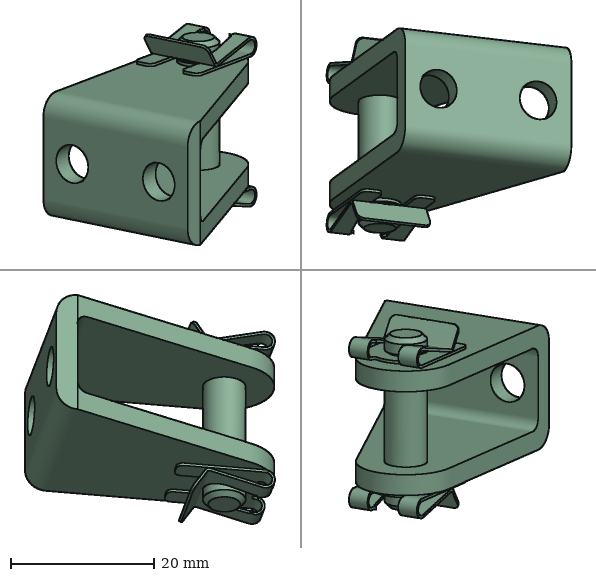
import cadquery as cq
import math


bracket_width = 25.0
bracket_length = 34.0
bracket_height = 18.0
plate_thickness = 3.0
bend_outer_radius = 3.0
bend_inner_radius = 1.5
nose_radius = 7.0
mount_hole_diameter = 5.5
mount_hole_inset = 5.0

bracket_left = -nose_radius
bracket_right = bracket_left + bracket_width
bracket_back = nose_radius - bracket_length
taper_end = bracket_back + bend_outer_radius

pin_diameter = 6.0
pin_length = 25.0
pin_chamfer = 0.75
groove_diameter = 5.0
groove_base = 9.45
groove_width = 0.75

clip_width = 11.1
clip_thickness = 0.4
clip_corner_radius = 1.0
fork_end = -7.6
loop_y = 4.8
loop_outer_radius = 1.43
arm_slope = 14.5
lip_slope = 56.5
lip_bend_y = -3.13
lip_bend_radius = 0.25
clip_top = 13.33

opening_radius = 3.03
loop_opening_width = 5.0
ring_radius = 4.93
opening_corner_radius = 0.35

clip_bottom = groove_base
fork_top = clip_bottom + clip_thickness
loop_front = loop_y + loop_outer_radius


def polar(center, radius, degrees):
    """Point at a radius and angle around a center."""
    angle = math.radians(degrees)
    return (center[0] + radius * math.cos(angle), center[1] + radius * math.sin(angle))


def tangent_point(point, radius, turn):
    """Point where a line from an outside point touches a circle about the origin.

    A turn of 1 takes the counterclockwise tangent point, -1 the clockwise one.
    """
    half_angle = math.acos(radius / math.hypot(*point))
    angle = math.atan2(point[1], point[0]) + turn * half_angle
    return polar((0, 0), radius, math.degrees(angle))


def rounded_block(back, height, bend_radius):
    """Block across the bracket width from the back to the nose, with its two back edges rounded."""
    return (
        cq.Workplane("XY")
        .box(bracket_width, nose_radius - back, height, centered=(False, False, True))
        .translate((bracket_left, back, 0))
        .edges("|X and <Y")
        .fillet(bend_radius)
    )


def make_bracket():
    outside = rounded_block(bracket_back, bracket_height, bend_outer_radius)
    inside = rounded_block(
        bracket_back + plate_thickness,
        bracket_height - 2 * plate_thickness,
        bend_inner_radius,
    )
    channel = outside.cut(inside)

    taper_corner = (bracket_right, taper_end)
    outline = (
        cq.Workplane("XY", origin=(0, 0, -bracket_height / 2))
        .moveTo(bracket_left, bracket_back)
        .lineTo(bracket_right, bracket_back)
        .lineTo(*taper_corner)
        .lineTo(*tangent_point(taper_corner, nose_radius, 1))
        .threePointArc((0, nose_radius), (-nose_radius, 0))
        .close()
        .extrude(bracket_height)
    )
    pin_hole = cq.Workplane("XY").circle(pin_diameter / 2).extrude(bracket_height / 2, both=True)
    hole_xs = (bracket_left + mount_hole_inset, bracket_right - mount_hole_inset)
    mount_holes = (
        cq.Workplane("XZ", origin=(0, bracket_back + plate_thickness, 0))
        .pushPoints([(x, 0) for x in hole_xs])
        .circle(mount_hole_diameter / 2)
        .extrude(plate_thickness)
    )
    return channel.intersect(outline).cut(pin_hole).cut(mount_holes)


def make_pin():
    pin = (
        cq.Workplane("XY")
        .circle(pin_diameter / 2)
        .extrude(pin_length / 2, both=True)
        .faces("<Z or >Z")
        .chamfer(pin_chamfer)
    )
    groove = (
        cq.Workplane("XY", origin=(0, 0, groove_base))
        .circle(pin_diameter / 2)
        .circle(groove_diameter / 2)
        .extrude(groove_width)
    )
    return pin.cut(groove).cut(groove.mirror("XY"))


def make_clip_strip():
    """Bent strip of constant thickness, extruded across the clip width."""
    loop_center = (loop_y, clip_bottom + loop_outer_radius)
    loop_inner_radius = loop_outer_radius - clip_thickness
    lip_outer_radius = lip_bend_radius + clip_thickness
    slope = math.radians(arm_slope)

    bend_run = lip_bend_y - loop_y
    bend_rise = (loop_outer_radius + lip_bend_radius + bend_run * math.sin(slope)) / math.cos(slope)
    bend_center = (lip_bend_y, loop_center[1] + bend_rise)

    loop_end_angle = 90 + arm_slope
    loop_mid_angle = arm_slope / 2
    bend_start_angle = arm_slope - 90
    bend_end_angle = -90 - lip_slope
    bend_mid_angle = (bend_start_angle + bend_end_angle) / 2

    lip_direction = 180 - lip_slope
    lip_inner_start = polar(bend_center, lip_bend_radius, bend_end_angle)
    lip_outer_start = polar(bend_center, lip_outer_radius, bend_end_angle)
    lip_length = (clip_top - lip_inner_start[1]) / math.sin(math.radians(lip_slope))

    return (
        cq.Workplane("YZ", origin=(-clip_width / 2, 0, 0))
        .moveTo(fork_end, clip_bottom)
        .lineTo(loop_y, clip_bottom)
        .threePointArc(
            polar(loop_center, loop_outer_radius, loop_mid_angle),
            polar(loop_center, loop_outer_radius, loop_end_angle),
        )
        .lineTo(*polar(bend_center, lip_bend_radius, bend_start_angle))
        .threePointArc(polar(bend_center, lip_bend_radius, bend_mid_angle), lip_inner_start)
        .lineTo(*polar(lip_inner_start, lip_length, lip_direction))
        .lineTo(*polar(lip_outer_start, lip_length, lip_direction))
        .lineTo(*lip_outer_start)
        .threePointArc(
            polar(bend_center, lip_outer_radius, bend_mid_angle),
            polar(bend_center, lip_outer_radius, bend_start_angle),
        )
        .lineTo(*polar(loop_center, loop_inner_radius, loop_end_angle))
        .threePointArc(polar(loop_center, loop_inner_radius, loop_mid_angle), (loop_y, fork_top))
        .lineTo(fork_end, fork_top)
        .close()
        .extrude(clip_width)
    )


def make_fork_slot():
    """Slot between the fork legs, rounded to fit the pin groove."""
    half_slot = groove_diameter / 2
    return (
        cq.Workplane("XY", origin=(0, 0, clip_bottom))
        .moveTo(-half_slot, fork_end)
        .lineTo(half_slot, fork_end)
        .lineTo(half_slot, 0)
        .threePointArc((0, half_slot), (-half_slot, 0))
        .close()
        .extrude(clip_thickness)
    )


def make_head_opening():
    """Keyhole through the arm and loop that leaves a ring of the flat fork around the pin."""
    height = clip_top - clip_bottom
    loop_corner = (loop_opening_width / 2, loop_front)
    side_x, side_y = tangent_point(loop_corner, opening_radius, -1)
    keyhole = (
        cq.Workplane("XY", origin=(0, 0, clip_bottom))
        .moveTo(*loop_corner)
        .lineTo(side_x, side_y)
        .threePointArc((0, -opening_radius), (-side_x, side_y))
        .lineTo(-loop_corner[0], loop_corner[1])
        .close()
        .extrude(height)
    )
    ring = cq.Workplane("XY", origin=(0, 0, clip_bottom)).circle(ring_radius).extrude(height)
    loop_part = keyhole.cut(ring).edges("|Z and <Y").fillet(opening_corner_radius)
    fork_layer = (
        cq.Workplane("XY", origin=(0, 0, clip_bottom))
        .circle(ring_radius)
        .extrude(clip_thickness)
    )
    arm_part = keyhole.cut(fork_layer).intersect(ring)
    return loop_part, arm_part


def make_upper_clip():
    loop_part, arm_part = make_head_opening()
    strip = make_clip_strip().faces(">Z").edges("not(|X)").fillet(clip_corner_radius)
    fork = strip.cut(make_fork_slot()).faces("<Y").edges("|Z").fillet(clip_corner_radius)
    return fork.cut(arm_part).cut(loop_part)



bracket = make_bracket()
pin = make_pin()
upper_clip = make_upper_clip()
clips = [upper_clip, upper_clip.mirror("XY")]
result = cq.Compound.makeCompound([bracket.val(), pin.val(), *[clip.val() for clip in clips]])